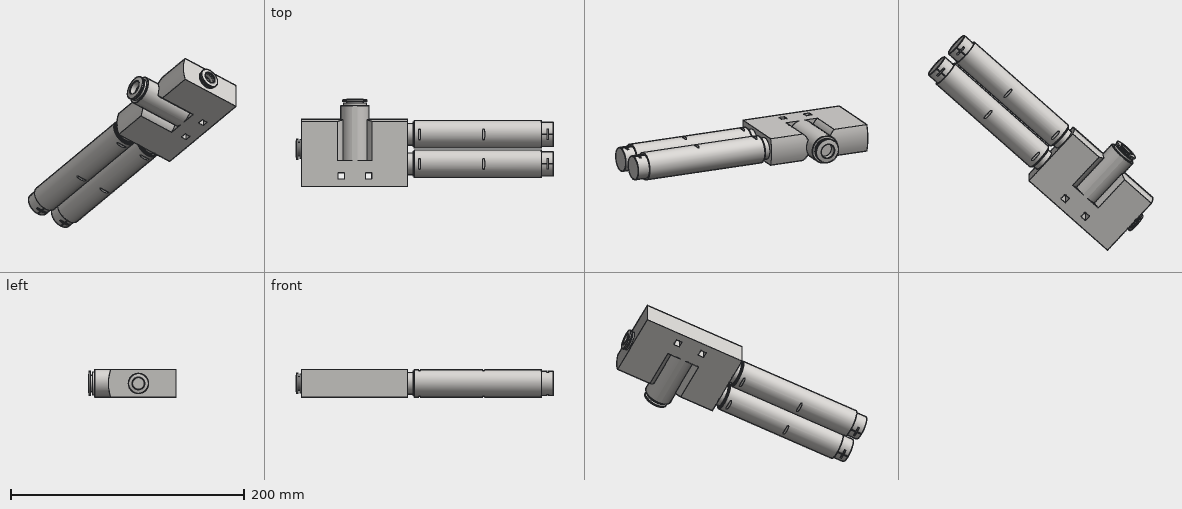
import cadquery as cq
import math

block_length = 91.2
block_height = 24.0
block_flat_depth = 56.0
back_bulge = 2.0
half_height = block_height / 2

boss_x = 45.9
boss_diameter = 24.5
boss_chamfer = 0.4
boss_end_y = 69.75
pocket_front_y = 22.3
pocket_wall_radius = 15.0
pocket_wall_axis_distance = 23.8

square_side = 5.2
square_spacing = 23.4
square_y = 9.25

muffler_spacing = 25.3
mufflers_mid_y = 32.25
neck_diameter = 18.9
neck_length = 4.5
collar_diameter = 21.0
collar_length = 0.8
body_diameter = 23.8
body_length = 109.25
body_chamfer_length = 0.6
body_chamfer_drop = 0.4
cap_diameter = 21.0
muffler_end_x = 216.3
cap_chamfer = 0.4

first_slot_x = 101.3
slot_pitch = 55.0
slot_radius = 1.0
cap_slot_width = 1.35
cap_slot_depth = 1.0
slit_width = 0.65
slit_depth = 0.5

boss_fitting_end_y = 75.1
side_fitting_end_x = -4.7
flange_thickness = 1.35
gap_length = 1.35
tip_height = 0.6
bore_depth = 5.8
mouth_chamfer = 0.5
boss_fitting = dict(bore=12.0, gap=14.4, ring=19.95, flange=21.0)
side_fitting = dict(bore=10.0, gap=12.0, ring=16.5, flange=17.5)

collar_start_x = block_length + neck_length
body_start_x = collar_start_x + collar_length
body_end_x = body_start_x + body_length


def turned(origin, axis, outline):
    """Revolve an outline of (radius, distance along axis) points, closed along the axis."""
    along = cq.Vector(*axis)
    up = cq.Vector(0, 0, 1)
    plane = cq.Plane(origin=origin, xDir=up, normal=up.cross(along))
    points = [(0, outline[0][1])] + outline + [(0, outline[-1][1])]
    return cq.Workplane(plane).polyline(points).close().revolve(360, (0, 0), (0, 1))


def make_block():
    """Block extruded along X from its Y-Z outline with a bulged back."""
    return (
        cq.Workplane("YZ")
        .moveTo(0, -half_height)
        .lineTo(block_flat_depth, -half_height)
        .threePointArc((block_flat_depth + back_bulge, 0), (block_flat_depth, half_height))
        .lineTo(0, half_height)
        .close()
        .extrude(block_length)
    )


def cylinder_along_y(x, radius, start_y, end_y):
    return (
        cq.Workplane("XZ", origin=(x, start_y, 0))
        .circle(radius)
        .extrude(start_y - end_y)
    )


def make_pocket():
    """Space between two rounded walls, cut from the block around the boss."""
    wall_reach = math.sqrt(pocket_wall_radius**2 - half_height**2)
    half_width = pocket_wall_axis_distance - wall_reach
    back_y = block_flat_depth + back_bulge
    pocket = (
        cq.Workplane("XY")
        .box(2 * half_width, back_y - pocket_front_y, block_height)
        .translate((boss_x, (pocket_front_y + back_y) / 2, 0))
    )
    for side in (-1, 1):
        wall_x = boss_x + side * pocket_wall_axis_distance
        pocket = pocket.cut(cylinder_along_y(wall_x, pocket_wall_radius, pocket_front_y, back_y))
    return pocket


def make_boss():
    """Chamfered cylinder, flattened level with the top and bottom of the block."""
    radius = boss_diameter / 2
    outline = [
        (radius, pocket_front_y),
        (radius, boss_end_y - boss_chamfer),
        (radius - boss_chamfer, boss_end_y),
    ]
    boss = turned((boss_x, 0, 0), (0, 1, 0), outline)
    slab_centre = (boss_x, (pocket_front_y + boss_end_y) / 2, 0)
    slab = cq.Workplane("XY", origin=slab_centre).box(boss_diameter, boss_end_y, block_height)
    return boss.intersect(slab)


def make_square_holes():
    return (
        cq.Workplane("XY", origin=(boss_x, square_y, -half_height))
        .rarray(square_spacing, 1, 2, 1)
        .rect(square_side, square_side)
        .extrude(block_height)
    )


def make_fitting(origin, axis, sizes, length):
    """Stepped collet of the given length with a slightly conical end face."""
    mouth = sizes["bore"] / 2 + mouth_chamfer
    flange_end = length - tip_height
    flange_start = flange_end - flange_thickness
    ring_end = flange_start - gap_length
    outline = [
        (sizes["ring"] / 2, 0),
        (sizes["ring"] / 2, ring_end),
        (sizes["gap"] / 2, ring_end),
        (sizes["gap"] / 2, flange_start),
        (sizes["flange"] / 2, flange_start),
        (sizes["flange"] / 2, flange_end),
        (mouth, length),
    ]
    return turned(origin, axis, outline)


def make_bore(origin, axis, sizes, length):
    """Blind bore with a chamfered mouth, measured from the end of the fitting."""
    radius = sizes["bore"] / 2
    outline = [
        (radius, length - bore_depth),
        (radius, length - mouth_chamfer),
        (radius + mouth_chamfer, length),
    ]
    return turned(origin, axis, outline)


def make_muffler(y):
    """Neck, collar, long body and end cap, turned about one X axis."""
    cap_radius = cap_diameter / 2
    outline = [
        (neck_diameter / 2, block_length),
        (neck_diameter / 2, collar_start_x),
        (collar_diameter / 2, collar_start_x),
        (collar_diameter / 2, body_start_x),
        (body_diameter / 2 - body_chamfer_drop, body_start_x),
        (body_diameter / 2, body_start_x + body_chamfer_length),
        (body_diameter / 2, body_end_x),
        (cap_radius, body_end_x),
        (cap_radius, muffler_end_x - cap_chamfer),
        (cap_radius - cap_chamfer, muffler_end_x),
    ]
    muffler = turned((0, y, 0), (1, 0, 0), outline)
    return muffler.cut(make_indentations(y))


def make_indentations(y):
    """Two round-bottomed slots in the body, a square slot and a slit in the cap, top and bottom."""
    cap_length = muffler_end_x - body_end_x
    cap_slot_x = first_slot_x + 2 * slot_pitch
    cuts = cq.Workplane("XY")
    for side in (-1, 1):
        for x in (first_slot_x, first_slot_x + slot_pitch):
            slot = cylinder_along_y(x, slot_radius, y - body_diameter / 2, y + body_diameter / 2)
            cuts = cuts.add(slot.translate((0, 0, side * body_diameter / 2)))
        surface_z = side * cap_diameter / 2
        cap_slot = cq.Workplane("XY").box(cap_slot_width, cap_diameter, 2 * cap_slot_depth)
        cuts = cuts.add(cap_slot.translate((cap_slot_x, y, surface_z)))
        slit = cq.Workplane("XY").box(cap_length, slit_width, 2 * slit_depth)
        cuts = cuts.add(slit.translate((body_end_x + cap_length / 2, y, surface_z)))
    return cuts.combine()


block = make_block().cut(make_pocket()).cut(make_square_holes())
result = block.union(make_boss())
for side in (-1, 1):
    result = result.union(make_muffler(mufflers_mid_y + side * muffler_spacing / 2))

fitting_places = [
    ((boss_x, boss_end_y, 0), (0, 1, 0), boss_fitting, boss_fitting_end_y - boss_end_y),
    ((0, mufflers_mid_y, 0), (-1, 0, 0), side_fitting, -side_fitting_end_x),
]
for place in fitting_places:
    result = result.union(make_fitting(*place)).cut(make_bore(*place))